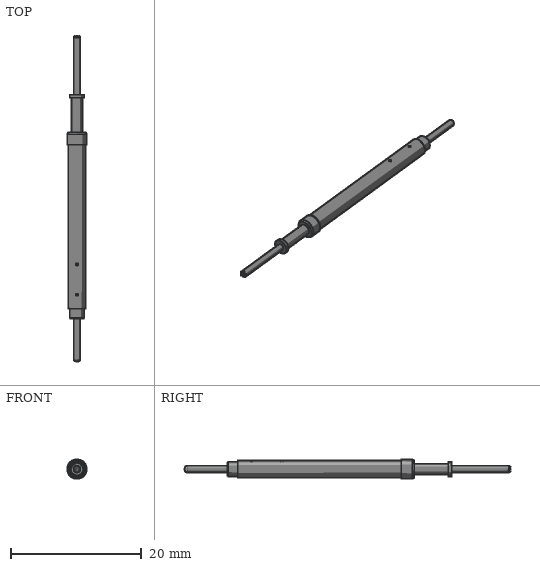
import cadquery as cq

total_length = 49.8

tail_diameter = 1.05
tail_dome_height = 0.4

plug_start = 6.5
plug_diameter = 2.3
plug_chamfer = 0.2

barrel_start = 8.1
barrel_diameter = 2.7

collar_diameter = 3.0
collar_length = 1.95
collar_end = 35.05
collar_chamfer_length = 0.3
collar_chamfer_depth = 0.15

plunger_diameter = 1.7

flange_diameter = 2.3
flange_width = 0.5
flange_end = 40.8

needle_diameter = 1.05

crown_depth = 0.3
crown_pitch = 0.35
crown_grooves = 4

dimple_diameter = 0.35
dimple_depth = 0.2
dimple_positions = (10.2, 14.85)


def rod(diameter, start, end):
    """Cylinder along Y between two stations."""
    return cq.Workplane("XZ", origin=(0, start, 0)).circle(diameter / 2).extrude(start - end)


def make_tail():
    radius = tail_diameter / 2
    return (
        cq.Workplane("XY")
        .moveTo(0, 0)
        .ellipseArc(radius, tail_dome_height, 270, 360, startAtCurrent=True)
        .lineTo(radius, plug_start)
        .lineTo(0, plug_start)
        .close()
        .revolve(360, (0, 0), (0, 1))
    )


def make_collar():
    collar = rod(collar_diameter, collar_end - collar_length, collar_end)
    return collar.faces(">Y").chamfer(collar_chamfer_length, collar_chamfer_depth)


def make_needle():
    needle = rod(needle_diameter, flange_end, total_length)
    groove = (
        cq.Workplane("XY")
        .moveTo(-crown_pitch / 2, total_length)
        .lineTo(0, total_length - crown_depth)
        .lineTo(crown_pitch / 2, total_length)
        .close()
        .extrude(needle_diameter, both=True)
    )
    for index in range(crown_grooves):
        offset = (index - (crown_grooves - 1) / 2) * crown_pitch
        placed = groove.translate((offset, 0, 0))
        needle = needle.cut(placed)
        needle = needle.cut(placed.rotate((0, 0, 0), (0, 1, 0), 90))
    return needle


def make_dimples():
    return (
        cq.Workplane("XY", origin=(0, 0, barrel_diameter / 2 - dimple_depth))
        .pushPoints([(0, y) for y in dimple_positions])
        .circle(dimple_diameter / 2)
        .extrude(2 * dimple_depth)
    )


plug = rod(plug_diameter, plug_start, barrel_start).faces("<Y").chamfer(plug_chamfer)
barrel = rod(barrel_diameter, barrel_start, collar_end - collar_length).cut(make_dimples())
plunger = rod(plunger_diameter, collar_end, flange_end - flange_width)
flange = rod(flange_diameter, flange_end - flange_width, flange_end)

result = make_tail()
for section in (plug, barrel, make_collar(), plunger, flange, make_needle()):
    result = result.union(section)